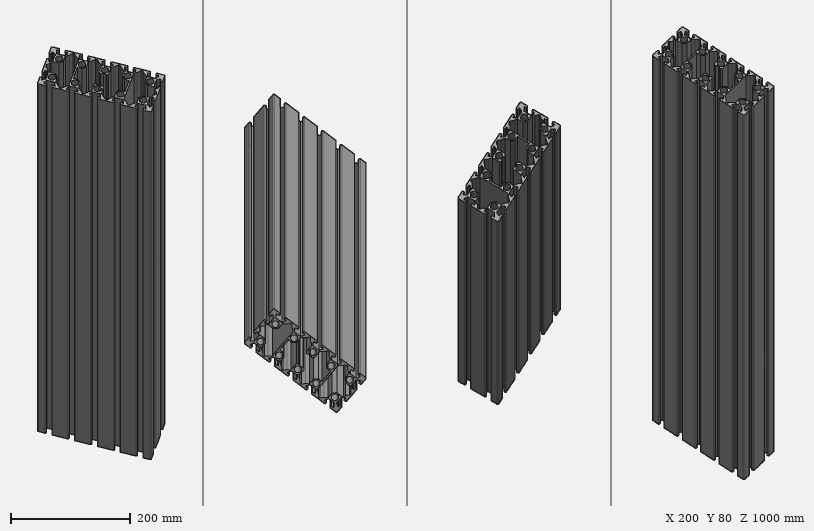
import cadquery as cq

LENGTH = 1000.0
WIDTH = 200.0
DEPTH = 80.0
PITCH = 40.0
CORNER_RADIUS = 2.0

SLOT_OPENING = 10.0
SLOT_LIP = 4.0
SLOT_DEPTH = 11.0
SLOT_SHOULDER = 6.0
SLOT_INNER_WIDTH = 19.0
SLOT_FLOOR_WIDTH = 13.0
LIP_RADIUS = 1.5

BORE_DIAMETER = 12.0
BOSS_HALF = 8.5
BOSS_CHAMFER = 6.0
MIDDLE_BOSS_CHAMFER = 2.0

WEB = 3.0
SIDE_WALL = 8.0
ROOF_WALL = 8.0
ROOF_WIDTH = 12.0
SHOULDER_WALL = 12.0
GROOVE_WIDTH = 3.0
GROOVE_WALL = 3.0
BOSS_GROOVE_WIDTH = 9.0
BOSS_GROOVE_DEPTH = 2.0

HALF_WIDTH = WIDTH / 2
HALF_DEPTH = DEPTH / 2
BORE_Y = PITCH / 2
BORE_XS = [PITCH * i for i in range(-2, 3)]
COLUMN_XS = [PITCH * (i + 0.5) for i in range(-2, 2)]
COLUMN_HALF = PITCH / 2 - BOSS_HALF
CHANNEL_HALF = BORE_Y - BOSS_HALF
WEB_OUTER_X = PITCH + BOSS_HALF
WEB_INNER_X = WEB_OUTER_X - WEB


def prism(points):
    return cq.Workplane("XY").polyline(points).close().extrude(LENGTH)


def box(x_min, x_max, y_min, y_max):
    return prism([(x_min, y_min), (x_max, y_min), (x_max, y_max), (x_min, y_max)])


def mirrored(right_side):
    """Close an outline that is symmetric about x = 0."""
    return right_side + [(-x, y) for x, y in reversed(right_side)]


def slot():
    """T-slot entering from y = 0 and running toward -y, with rounded lips."""
    mouth = SLOT_OPENING / 2
    inner = SLOT_INNER_WIDTH / 2
    floor = SLOT_FLOOR_WIDTH / 2
    return (
        cq.Workplane("XY")
        .moveTo(mouth + LIP_RADIUS, 0)
        .radiusArc((mouth, -LIP_RADIUS), -LIP_RADIUS)
        .lineTo(mouth, -SLOT_LIP)
        .lineTo(inner, -SLOT_LIP)
        .lineTo(inner, -SLOT_SHOULDER)
        .lineTo(floor, -SLOT_DEPTH)
        .lineTo(-floor, -SLOT_DEPTH)
        .lineTo(-inner, -SLOT_SHOULDER)
        .lineTo(-inner, -SLOT_LIP)
        .lineTo(-mouth, -SLOT_LIP)
        .lineTo(-mouth, -LIP_RADIUS)
        .radiusArc((-mouth - LIP_RADIUS, 0), -LIP_RADIUS)
        .close()
        .extrude(LENGTH)
    )


def column():
    """Chamber between neighbouring bosses, from the middle plane up to its grooved roof."""
    return prism(mirrored([
        (COLUMN_HALF, 0),
        (COLUMN_HALF, HALF_DEPTH - SHOULDER_WALL),
        (ROOF_WIDTH / 2, HALF_DEPTH - ROOF_WALL),
        (GROOVE_WIDTH / 2, HALF_DEPTH - GROOVE_WALL),
    ]))


def boss_corner(x, side, chamfer):
    """Chamfer on the lower corner of a boss at x, on its +x or -x side."""
    edge = x + side * BOSS_HALF
    return prism([
        (edge, CHANNEL_HALF),
        (edge, CHANNEL_HALF + chamfer),
        (edge - side * chamfer, CHANNEL_HALF),
    ])


def boss_groove():
    half = BOSS_GROOVE_WIDTH / 2
    return prism([(-half, CHANNEL_HALF), (half, CHANNEL_HALF), (0, CHANNEL_HALF + BOSS_GROOVE_DEPTH)])


def half_cuts():
    """Everything removed on the +y half except the middle channel."""
    cuts = boss_groove()
    for x in BORE_XS:
        cuts = cuts.union(slot().translate((x, HALF_DEPTH, 0)))
        cuts = cuts.union(cq.Workplane("XY").center(x, BORE_Y).circle(BORE_DIAMETER / 2).extrude(LENGTH))
    for x in COLUMN_XS:
        cuts = cuts.union(column().translate((x, 0, 0)))
    for side in (-1, 1):
        cuts = cuts.union(boss_corner(-side * 2 * PITCH, side, BOSS_CHAMFER))
        cuts = cuts.union(boss_corner(-side * PITCH, side, BOSS_CHAMFER))
        cuts = cuts.union(boss_corner(0, side, MIDDLE_BOSS_CHAMFER))
        side_slot = slot().rotate((0, 0, 0), (0, 0, 1), -90 * side)
        cuts = cuts.union(side_slot.translate((side * HALF_WIDTH, BORE_Y, 0)))
    return cuts


body = cq.Workplane("XY").rect(WIDTH, DEPTH).extrude(LENGTH).edges("|Z").fillet(CORNER_RADIUS)
cuts = half_cuts()
body = body.cut(cuts).cut(cuts.mirror("XZ"))

body = body.cut(box(-WEB_INNER_X, WEB_INNER_X, -CHANNEL_HALF, CHANNEL_HALF))

end_column = column().translate((0, HALF_WIDTH - HALF_DEPTH, 0))
for side in (-1, 1):
    web_x = side * WEB_OUTER_X
    body = body.cut(box(web_x, side * (HALF_WIDTH - SIDE_WALL), -CHANNEL_HALF, CHANNEL_HALF))
    groove_limits = box(web_x, side * HALF_WIDTH, -ROOF_WIDTH / 2, ROOF_WIDTH / 2)
    body = body.cut(end_column.rotate((0, 0, 0), (0, 0, 1), -90 * side).intersect(groove_limits))

result = body